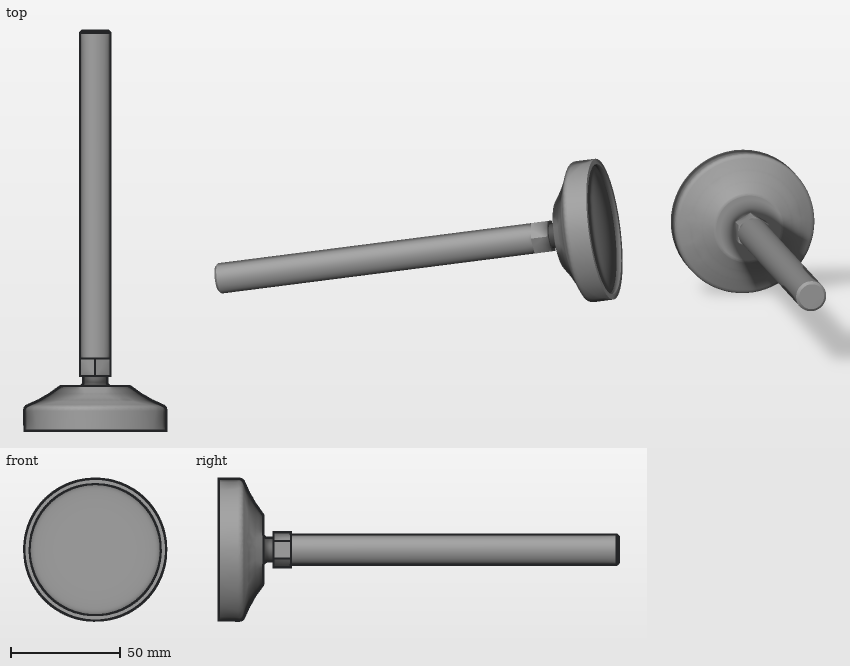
import cadquery as cq
import math

total_length = 183.0
stud_length = 150.0
hex_height = 8.0

foot_diameter = 65.0
foot_height = 20.5
foot_top_diameter = 31.5
foot_shoulder_height = 11.0
flank_sag = 0.8
shoulder_fillet = 2.5
top_edge_fillet = 1.8
recess_diameter = 60.0
recess_depth = 2.2

neck_diameter = 11.0
neck_fillet = 1.5
hex_across_flats = 14.0
stud_diameter = 14.0
stud_chamfer = 1.2

hex_across_corners = hex_across_flats / math.cos(math.pi / 6)
stud_start = total_length - stud_length
hex_start = stud_start - hex_height


def plane_at(y):
    """Work plane normal to the axis at height y, with its normal along +Y."""
    return cq.Workplane("ZX", origin=(0, y, 0))


def cylinder(diameter, start, end):
    """Solid cylinder on the axis between two heights."""
    return plane_at(start).circle(diameter / 2).extrude(end - start)


def make_foot():
    """Disc with a concave flared flank and a shallow round recess underneath."""
    rim_radius = foot_diameter / 2
    top_radius = foot_top_diameter / 2
    foot = (
        cq.Workplane("XY")
        .lineTo(rim_radius, 0)
        .lineTo(rim_radius, foot_shoulder_height)
        .sagittaArc((top_radius, foot_height), flank_sag)
        .lineTo(0, foot_height)
        .close()
        .revolve(360, (0, 0, 0), (0, 1, 0))
    )
    foot = foot.faces(">Y").edges().fillet(top_edge_fillet)
    shoulder_centre = (0, foot_shoulder_height, 0)
    shoulder = cq.selectors.NearestToPointSelector(shoulder_centre)
    foot = foot.edges(shoulder).fillet(shoulder_fillet)
    return foot.cut(cylinder(recess_diameter, 0, recess_depth))


def make_neck():
    """Round neck that flares through a concave fillet into the top of the foot."""
    neck_radius = neck_diameter / 2
    flare_radius = neck_radius + neck_fillet
    return (
        cq.Workplane("XY")
        .moveTo(0, foot_height)
        .lineTo(flare_radius, foot_height)
        .radiusArc((neck_radius, foot_height + neck_fillet), neck_fillet)
        .lineTo(neck_radius, hex_start)
        .lineTo(0, hex_start)
        .close()
        .revolve(360, (0, 0, 0), (0, 1, 0))
    )


def make_hexagon():
    """Wrench hexagon with its corners on the Z axis and flats facing +X and -X."""
    return plane_at(hex_start).polygon(6, hex_across_corners).extrude(hex_height)


def make_stud():
    """Plain stud with a chamfered tip."""
    stud = cylinder(stud_diameter, stud_start, total_length)
    return stud.faces(">Y").chamfer(stud_chamfer)


result = make_foot().union(make_neck()).union(make_hexagon()).union(make_stud())